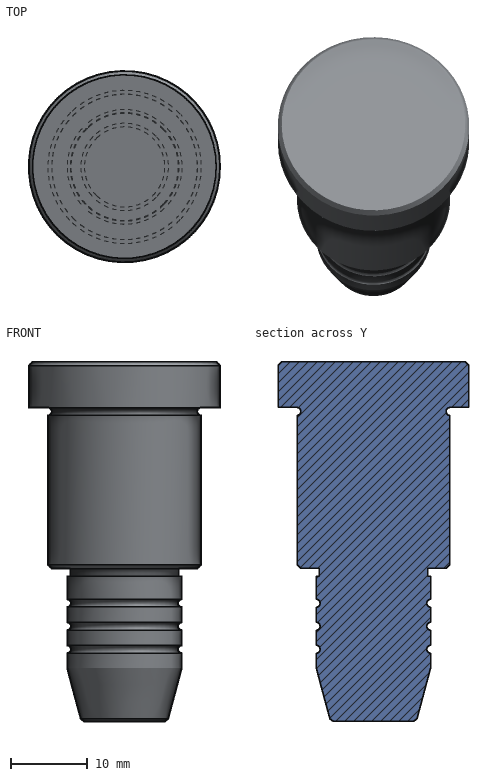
import cadquery as cq

total_length = 47.0
head_diameter = 25.0
head_height = 6.0
shank_diameter = 20.0
shank_length = 21.0
pilot_diameter = 15.0
groove_width = 1.0
groove_pitch = 3.0
groove_count = 3
first_groove_offset = 4.5
neck_diameter = 14.2
taper_height = 7.0
taper_angle = 15.0
edge_chamfer = 0.5
tip_chamfer = 0.38

head_bottom = total_length - head_height
shank_bottom = head_bottom - shank_length


def cylinder(diameter, bottom, top):
    """Upright cylinder on the Z axis between two levels."""
    return cq.Workplane("XY").workplane(offset=bottom).circle(diameter / 2).extrude(top - bottom)


def round_groove(diameter, level):
    """Ring that cuts a semicircular groove into a cylinder of the given diameter."""
    return (
        cq.Workplane("XZ")
        .center(diameter / 2, level)
        .circle(groove_width / 2)
        .revolve(360, (-diameter / 2, 0), (-diameter / 2, 1))
    )


head = cylinder(head_diameter, head_bottom, total_length).faces(">Z").edges().chamfer(edge_chamfer)

shank = cylinder(shank_diameter, shank_bottom, head_bottom).faces("<Z").edges().chamfer(edge_chamfer)
shank = shank.cut(round_groove(shank_diameter, head_bottom - groove_width / 2))

neck_bottom = shank_bottom - groove_width
neck = cylinder(neck_diameter, neck_bottom, shank_bottom)
pilot = cylinder(pilot_diameter, taper_height, neck_bottom)
for index in range(groove_count):
    groove_level = shank_bottom - first_groove_offset - index * groove_pitch
    pilot = pilot.cut(round_groove(pilot_diameter, groove_level))

tip = (
    cq.Workplane("XY")
    .workplane(offset=taper_height)
    .circle(pilot_diameter / 2)
    .extrude(-taper_height, taper=taper_angle)
    .faces("<Z")
    .edges()
    .chamfer(tip_chamfer)
)

result = head.union(shank).union(neck).union(pilot).union(tip)